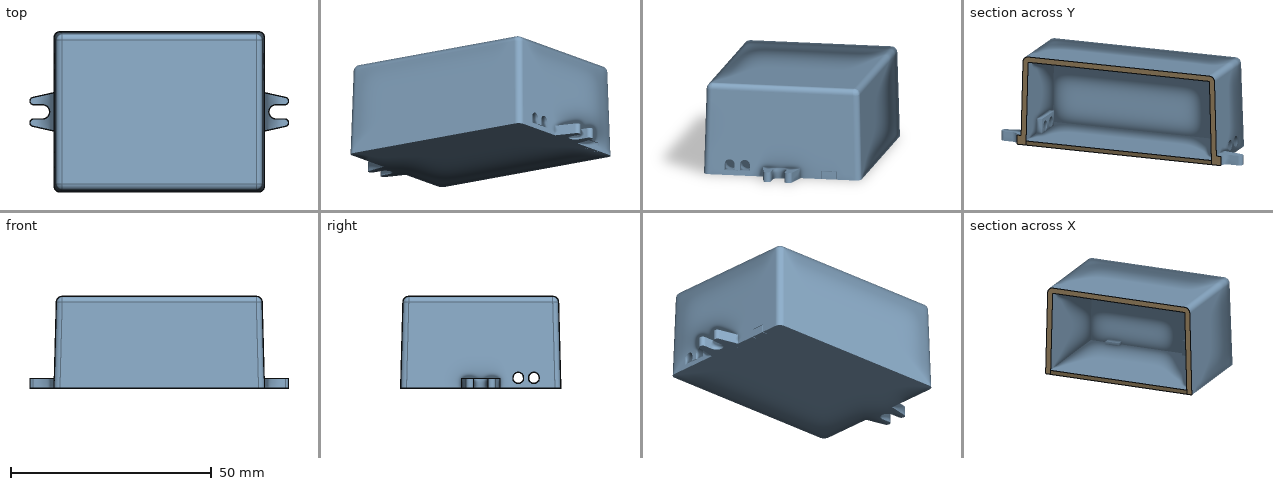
import cadquery as cq
import math

length = 52.5
width = 40.0
height = 23.0
draft_angle = 1.5
edge_radius = 1.5
wall = 1.5

overall_length = 64.5
ear_height = 2.5
ear_root_half_width = 4.8
ear_tip_radius = 0.95
screw_slot_width = 3.5
screw_slot_end_x = 27.35

plate_thickness = 1.2
clearance = 0.12

wire_centers_y = (9.35, 13.25)
wire_slot_width = 2.5
wire_hole_diameter = 2.7
wire_notch_y_min = wire_centers_y[0] - wire_slot_width / 2
wire_notch_y_max = wire_centers_y[-1] + wire_slot_width / 2
wire_notch_height = plate_thickness + clearance
wire_hole_z = wire_notch_height + wire_hole_diameter / 2
wire_slot_top = wire_notch_height + wire_hole_diameter

rib_thickness = 1.5
rib_margin = 1.0

lug_notch_y_min = -13.9
lug_notch_y_max = -10.0
lug_notch_height = 2.1

wall_outer_x = -length / 2
wall_span = 2 * wall


def drafted_block(inset, block_height):
    """Box narrowing upward, its bottom outline set in from the housing outline."""
    return (
        cq.Workplane("XY")
        .rect(length - 2 * inset, width - 2 * inset)
        .extrude(block_height, taper=draft_angle)
    )


def end_wall_block(y_min, y_max, block_height):
    """Block that stands on Z = 0 and spans the -X end wall."""
    return cq.Workplane("XY").box(
        wall_span, y_max - y_min, block_height, centered=False
    ).translate((wall_outer_x, y_min, 0))


def mounting_ear():
    """Forked ear on the +X end: two round-tipped prongs, its root buried in the end wall."""
    tip_x = overall_length / 2
    root_x = length / 2
    buried_x = root_x - wall / 2
    slot_radius = screw_slot_width / 2
    slot_arc_x = screw_slot_end_x + slot_radius

    tip_center_x = tip_x - ear_tip_radius
    tip_center_y = slot_radius + ear_tip_radius
    run = tip_center_x - root_x
    rise = tip_center_y - ear_root_half_width
    side_angle = math.atan2(rise, run) + math.asin(ear_tip_radius / math.hypot(run, rise))
    side_end_x = tip_center_x - ear_tip_radius * math.sin(side_angle)
    side_end_y = tip_center_y + ear_tip_radius * math.cos(side_angle)

    return (
        cq.Workplane("XY")
        .moveTo(buried_x, ear_root_half_width)
        .lineTo(root_x, ear_root_half_width)
        .lineTo(side_end_x, side_end_y)
        .threePointArc((tip_x, tip_center_y), (tip_center_x, slot_radius))
        .lineTo(slot_arc_x, slot_radius)
        .threePointArc((screw_slot_end_x, 0), (slot_arc_x, -slot_radius))
        .lineTo(tip_center_x, -slot_radius)
        .threePointArc((tip_x, -tip_center_y), (side_end_x, -side_end_y))
        .lineTo(root_x, -ear_root_half_width)
        .lineTo(buried_x, -ear_root_half_width)
        .close()
        .extrude(ear_height)
    )


def wire_slot(center_y):
    """Round-topped slot through the -X end wall, open at the bottom."""
    radius = wire_slot_width / 2
    arc_center_z = wire_slot_top - radius
    return (
        cq.Workplane("YZ", origin=(wall_outer_x, center_y, 0))
        .moveTo(-radius, wire_notch_height)
        .lineTo(-radius, arc_center_z)
        .threePointArc((0, wire_slot_top), (radius, arc_center_z))
        .lineTo(radius, wire_notch_height)
        .close()
        .extrude(wall_span)
    )


def wire_hole(center_y, start_x):
    """Round bar running half the housing length in +X, to cut a wire hole."""
    return (
        cq.Workplane("YZ", origin=(start_x, center_y, wire_hole_z))
        .circle(wire_hole_diameter / 2)
        .extrude(length / 2)
    )


def wire_rib():
    """Rib against the inside of the -X end wall, with a round hole behind each wire slot."""
    rib_height = wire_slot_top + rib_margin
    rib = cq.Workplane("XY").box(
        wall + rib_thickness,
        wire_notch_y_max - wire_notch_y_min + 2 * rib_margin,
        rib_height,
        centered=False,
    ).translate((wall_outer_x, wire_notch_y_min - rib_margin, 0))
    for center_y in wire_centers_y:
        rib = rib.cut(wire_hole(center_y, wall_outer_x))
    return rib.intersect(drafted_block(wall, rib_height))


outer_block = (
    drafted_block(0, height)
    .edges("not(|X or |Y)")
    .fillet(edge_radius)
    .faces(">Z")
    .edges()
    .fillet(edge_radius)
)

housing = outer_block.cut(drafted_block(wall, height - wall))
housing = housing.cut(end_wall_block(wire_notch_y_min, wire_notch_y_max, wire_notch_height))
housing = housing.cut(end_wall_block(lug_notch_y_min, lug_notch_y_max, lug_notch_height))
for y in wire_centers_y:
    housing = housing.cut(wire_slot(y)).cut(wire_hole(y, 0))
for angle in (0, 180):
    housing = housing.union(mounting_ear().rotate((0, 0, 0), (0, 0, 1), angle))

wire_plug = end_wall_block(wire_notch_y_min, wire_notch_y_max, plate_thickness)
lug = end_wall_block(
    lug_notch_y_min + clearance,
    lug_notch_y_max - clearance,
    lug_notch_height - clearance,
)
base = drafted_block(wall, plate_thickness)
base = base.union(wire_plug.intersect(outer_block))
base = base.union(lug.intersect(outer_block))
base = base.union(wire_rib())

result = cq.Compound.makeCompound([housing.val(), base.val()])